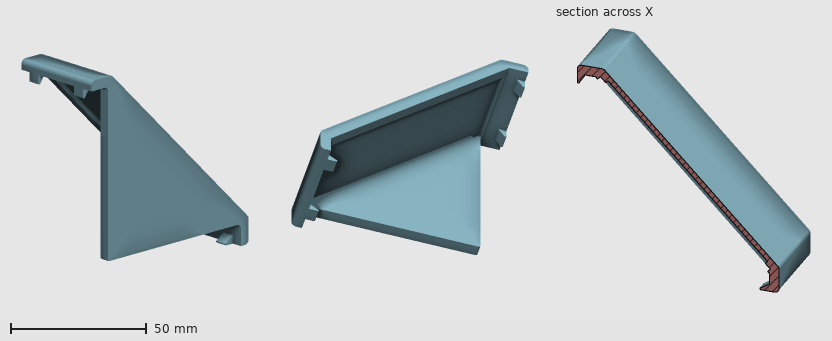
import cadquery as cq
import math

width = 37.5
side = 79.9

lip_length = 10.5
lip_thickness = 4.0
wall_thickness = 5.0
bend_radius = 2.0

plate_thickness = 4.1
plate_inset = 8.55
plate_chamfer = 0.5

pocket_end_margin = 1.0
pocket_depth = 1.6
slot_width = 1.4
slot_end_margin = 2.95
slot_depth = 1.3

tab_width = 4.95
tab_edge_offset = 4.3
tab_base = 3.2
tab_sharp_height = 4.9
tab_tip_radius = 0.5

outer_sum = side + lip_length
inner_sum = outer_sum - wall_thickness * math.sqrt(2)
lip_inner = side - lip_thickness
inner_bend = inner_sum - lip_inner


def extrude_section(points, x_start, length):
    """Extrude a closed Y-Z outline along +X."""
    return cq.Workplane("YZ", origin=(x_start, 0, 0)).polyline(points).close().extrude(length)


def make_cover():
    outline = [
        (0, lip_inner), (0, side), (lip_length, side),
        (side, lip_length), (side, 0), (lip_inner, 0),
        (lip_inner, inner_bend), (inner_bend, lip_inner),
    ]
    cover = extrude_section(outline, 0, width)
    outer_corners = [(0, side), (lip_length, side), (side, lip_length), (side, 0)]
    for y, z in outer_corners:
        cover = cover.edges(cq.NearestToPointSelector((width / 2, y, z))).fillet(bend_radius)
    return cover


def make_side_plate():
    far = inner_sum - plate_inset
    outline = [(plate_inset, plate_inset), (plate_inset, far), (far, plate_inset)]
    plate = extrude_section(outline, width - plate_thickness, plate_thickness)
    corner = cq.NearestToPointSelector((width - plate_thickness / 2, plate_inset, plate_inset))
    return plate.edges(corner).chamfer(plate_chamfer)


def make_pocket():
    slope_plane = cq.Plane(
        origin=(0, inner_sum / 2, inner_sum / 2), xDir=(1, 0, 0), normal=(0, 1, 1))
    pocket_start = plate_thickness
    pocket_end = width - plate_thickness
    pocket_length = (lip_inner - inner_bend) * math.sqrt(2) - 2 * pocket_end_margin
    slot_length = pocket_length - 2 * slot_end_margin
    pocket = (
        cq.Workplane(slope_plane)
        .center((pocket_start + pocket_end) / 2, 0)
        .rect(pocket_end - pocket_start, pocket_length)
        .extrude(pocket_depth)
    )
    slot = (
        cq.Workplane(slope_plane)
        .center(pocket_end - slot_width / 2, 0)
        .rect(slot_width, slot_length)
        .extrude(pocket_depth + slot_depth)
    )
    return pocket.union(slot)


def make_tab(x_start, on_top_lip):
    """Wedge tab with a rounded tip; swapping y and z moves it to the bottom lip."""
    tip = (0, lip_inner - tab_sharp_height)
    outline = [(0, lip_inner), tip, (tab_base, lip_inner)]
    if not on_top_lip:
        tip = tip[::-1]
        outline = [(z, y) for y, z in outline]
    tab = extrude_section(outline, x_start, tab_width)
    tip_edge = cq.NearestToPointSelector((x_start + tab_width / 2, *tip))
    return tab.edges(tip_edge).fillet(tab_tip_radius)


result = make_cover().cut(make_pocket()).union(make_side_plate())
for tab_x in (tab_edge_offset, width - tab_edge_offset - tab_width):
    for on_top_lip in (True, False):
        result = result.union(make_tab(tab_x, on_top_lip))